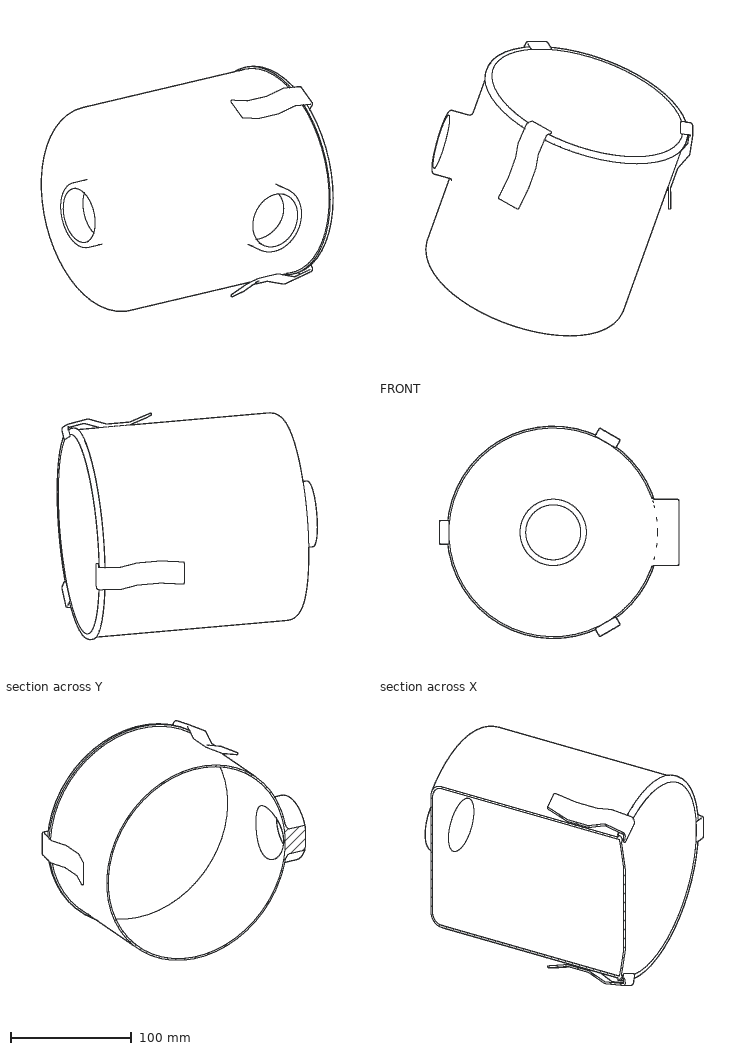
import cadquery as cq
import math

BODY_RADIUS = 86.5
BODY_LENGTH = 182.0
END_FILLET = 10.0
WALL = 2.0

RIM_RADIUS = 88.0
BEAD_RADIUS = 3.0
BEAD_TOP_Y = -3.0
BEAD_INNER_ANGLE = 40
CROWN_RADIUS = 64.6
RIM_SKIRT = 1.5
BEAD_CENTRE_RADIUS = RIM_RADIUS - BEAD_RADIUS
BEAD_CENTRE_Y = BEAD_TOP_Y - BEAD_RADIUS
RIM_BOTTOM_Y = BEAD_CENTRE_Y - RIM_SKIRT
SHOULDER_FOOT_RADIUS = BEAD_CENTRE_RADIUS - BEAD_RADIUS * math.sin(math.radians(BEAD_INNER_ANGLE))
SHOULDER_FOOT_Y = BEAD_CENTRE_Y + BEAD_RADIUS * math.cos(math.radians(BEAD_INNER_ANGLE))

PORT_DIAMETER = 55.0
PORT_RADIUS = PORT_DIAMETER / 2
PORT_LENGTH = 18.0
SIDE_PORT_REACH = 104.2
PORT_BASE_FILLET = 3.0
PORT_LIP_FILLET = 1.5
PORT_ROOT_DEPTH = 12.0
BORE_RADIUS = 22.8
SIDE_PORT_Y = -75.0

CLIP_WIDTH = 20.0
CLIP_THICKNESS = 2.0
CLIP_BEND_RADIUS = 2.0
CLIP_ANGLES = (60, 180, 300)
CLIP_ROUND = CLIP_THICKNESS / 2
CLIP_MID_RADIUS = BODY_RADIUS + CLIP_ROUND
HOOK_TIP = (81.5, -2.0)
HOOK_CORNER = (89.8, -0.8)
KNEE = (93.0, -19.5)
PAD_START_Y = -34.6
PAD_END_Y = -54.5
LEVER_TIP = (93.2, -72.2)


def make_can():
    """Outside of the can with its rimmed lid, revolved about the Y axis."""
    return (
        cq.Workplane("XY")
        .lineTo(CROWN_RADIUS, 0)
        .lineTo(SHOULDER_FOOT_RADIUS, SHOULDER_FOOT_Y)
        .threePointArc((BEAD_CENTRE_RADIUS, BEAD_TOP_Y), (RIM_RADIUS, BEAD_CENTRE_Y))
        .lineTo(RIM_RADIUS, RIM_BOTTOM_Y)
        .lineTo(BODY_RADIUS, RIM_BOTTOM_Y)
        .lineTo(BODY_RADIUS, -BODY_LENGTH)
        .lineTo(0, -BODY_LENGTH)
        .close()
        .revolve(360, (0, 0, 0), (0, 1, 0))
        .faces("<Y")
        .edges()
        .fillet(END_FILLET)
    )


def make_cavity():
    """Inside of the can: one wall thickness in from the crown, shoulder, side and end face."""
    inner_radius = BODY_RADIUS - WALL
    return (
        cq.Workplane("XY")
        .moveTo(0, -WALL)
        .lineTo(CROWN_RADIUS, -WALL)
        .lineTo(SHOULDER_FOOT_RADIUS, SHOULDER_FOOT_Y - WALL)
        .lineTo(inner_radius, SHOULDER_FOOT_Y - WALL)
        .lineTo(inner_radius, -BODY_LENGTH + WALL)
        .lineTo(0, -BODY_LENGTH + WALL)
        .close()
        .revolve(360, (0, 0, 0), (0, 1, 0))
        .faces("<Y")
        .edges()
        .fillet(END_FILLET - WALL)
    )


def add_port(can, tip, outward):
    """Add a solid round spout that ends at tip and points along outward."""
    spout_length = PORT_LENGTH + PORT_ROOT_DEPTH
    spout = cq.Workplane(cq.Solid.makeCylinder(PORT_RADIUS, spout_length, tip, outward * -1))
    spout = spout.faces(cq.DirectionMinMaxSelector(outward)).edges().fillet(PORT_LIP_FILLET)
    can = can.union(spout)

    half_cube = PORT_RADIUS + PORT_BASE_FILLET
    cube_centre = tip - outward * (PORT_LENGTH / 2 + half_cube)
    half_diagonal = cq.Vector(half_cube, half_cube, half_cube)
    seam = cq.selectors.BoxSelector(
        (cube_centre - half_diagonal).toTuple(),
        (cube_centre + half_diagonal).toTuple(),
        boundingbox=True,
    )
    return can.edges(seam).fillet(PORT_BASE_FILLET)


def make_bore(tip, outward):
    """Round passage from the tip of a spout into the cavity."""
    bore_length = PORT_LENGTH + PORT_ROOT_DEPTH
    return cq.Workplane(cq.Solid.makeCylinder(BORE_RADIUS, bore_length, tip, outward * -1))


def make_housing():
    """Hollow can with one spout on its end face and one on its side."""
    end_port = (cq.Vector(0, -BODY_LENGTH - PORT_LENGTH, 0), cq.Vector(0, -1, 0))
    side_port = (cq.Vector(SIDE_PORT_REACH, SIDE_PORT_Y, 0), cq.Vector(1, 0, 0))
    ports = (end_port, side_port)

    housing = make_can()
    for tip, outward in ports:
        housing = add_port(housing, tip, outward)
    housing = housing.cut(make_cavity())
    for tip, outward in ports:
        housing = housing.cut(make_bore(tip, outward))
    return housing.solids()


def make_round_end(end):
    """Round-ended bar across the full width of a strip, centred on the end of its centre line."""
    half_width = CLIP_WIDTH / 2
    half_straight = half_width - CLIP_ROUND
    arc_mid_radius = CLIP_ROUND * math.sqrt(0.5)
    return (
        cq.Workplane("XZ")
        .moveTo(0, -half_width)
        .threePointArc((arc_mid_radius, -half_straight - arc_mid_radius), (CLIP_ROUND, -half_straight))
        .lineTo(CLIP_ROUND, half_straight)
        .threePointArc((arc_mid_radius, half_straight + arc_mid_radius), (0, half_width))
        .close()
        .revolve(360, (0, 0, 0), (0, 1, 0))
        .translate((*end, 0))
    )


def make_clip(angle):
    """Strip bent along its centre line, turned about the Y axis to its place on the rim."""
    centre_points = [
        HOOK_TIP,
        HOOK_CORNER,
        KNEE,
        (CLIP_MID_RADIUS, PAD_START_Y),
        (CLIP_MID_RADIUS, PAD_END_Y),
        LEVER_TIP,
    ]
    centre_line = cq.Wire.makePolygon([cq.Vector(x, y, 0) for x, y in centre_points])
    centre_line = centre_line.fillet(CLIP_BEND_RADIUS)

    start = cq.Vector(*HOOK_TIP, 0)
    along_hook = cq.Vector(*HOOK_CORNER, 0) - start
    section = cq.Plane(start, xDir=(0, 0, 1), normal=along_hook)
    strip = cq.Workplane(section).slot2D(CLIP_WIDTH, CLIP_THICKNESS).sweep(centre_line)
    for end in (HOOK_TIP, LEVER_TIP):
        strip = strip.union(make_round_end(end))
    return strip.rotate((0, 0, 0), (0, 1, 0), angle).solids()


housing = make_housing()
clips = [make_clip(angle) for angle in CLIP_ANGLES]

result = cq.Compound.makeCompound([housing.val(), *(clip.val() for clip in clips)])